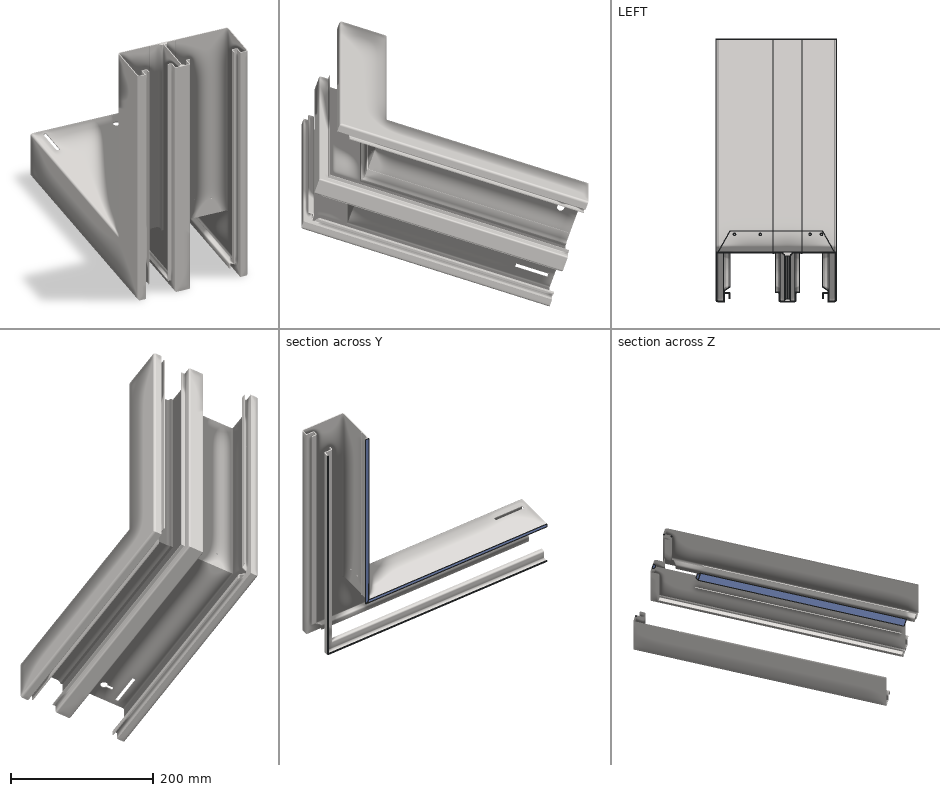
import cadquery as cq

leg_length = 369.5
width = 170.0
depth = 70.2
wall = 1.3
corner_radius = 3.5

half_length = leg_length / 2
half_width = width / 2
open_z = -half_length
base_z = open_z + depth

lip_width = 12.2
lip_height = 13.3
bend_radius = 2.2
hook_width = 7.8
hook_tip_height = 9.0
hook_y = half_width - lip_width - hook_width
lip_y = half_width - lip_width

hook_setback = 21.0
hook_end_slant = 5.5

divider_y = -16.0
rail_width = 23.5
rail_height = 14.0
rail_radius = 2.2
fin_reach = 5.0
seat_width = 9.0
seat_top_width = 5.0
seat_height = 3.0
foot_radius = 4.5

pad_thickness = 0.5
rib_offset = 19.5
rib_width = 1.0
rib_height = 1.0

slot_length = 48.0
slot_width = 5.0
slot_end_gap = 8.0
slot_y = 67.3
keyhole_end_gap = 24.8
keyhole_x = -half_length + keyhole_end_gap
keyhole_y = 36.5
keyhole_radius = 5.0
keyhole_neck_width = 4.5
keyhole_neck_length = 12.5

tab_height = 29.5
tab_top_width = 130.0
tab_bottom_width = width - 2 * corner_radius
tab_hole_radius = 1.5
tab_hole_drop = 4.8
tab_hole_ys = (58.8, 22.5, -47.5, -63.5)


def bar(y_low, y_high, z_low, z_high):
    """A rectangular bar running the full length of the lower arm."""
    centre = (0, (y_low + y_high) / 2, (z_low + z_high) / 2)
    return cq.Workplane("XY", origin=centre).box(leg_length, y_high - y_low, z_high - z_low)


def channel():
    """U-shaped base and sides with the two flanges on the open side."""
    outer = bar(-half_width, half_width, open_z, base_z).edges("|X").fillet(corner_radius)
    cavity = bar(wall - half_width, half_width - wall, open_z + wall, base_z - wall)
    cavity = cavity.edges("|X").fillet(corner_radius - wall)
    opening = bar(-lip_y, lip_y, open_z, open_z + wall)
    return outer.cut(cavity).cut(opening)


def side_lip():
    """Hook on the +Y side: web, shelf and a tip turned towards the open side, bent from one strip."""
    shelf_z = open_z + lip_height
    outer = bar(hook_y, lip_y + wall, open_z, shelf_z)
    outer = outer.edges("|X and >Z").fillet(bend_radius)
    inner = bar(hook_y + wall, lip_y, open_z, shelf_z - wall)
    inner = inner.edges("|X and >Z").fillet(bend_radius - wall)
    below_tip = bar(hook_y, lip_y, open_z, shelf_z - hook_tip_height)
    end_x = half_length - hook_setback
    notch = (
        cq.Workplane("XY", origin=(0, 0, open_z))
        .moveTo(end_x, hook_y)
        .lineTo(end_x + hook_end_slant, lip_y)
        .lineTo(half_length, lip_y)
        .lineTo(half_length, hook_y)
        .close()
        .extrude(lip_height)
    )
    return outer.cut(inner).cut(below_tip).cut(notch)


def divider_foot():
    """Root of the divider, flaring into the pad through a concave arc on each side."""
    pad_inside = base_z - wall - pad_thickness
    foot_end = pad_inside - foot_radius
    half_neck = seat_width / 2
    half_root = half_neck + foot_radius
    foot = bar(-half_root, half_root, foot_end, pad_inside)
    flares = (
        cq.Workplane("YZ")
        .pushPoints([(-half_root, foot_end), (half_root, foot_end)])
        .circle(foot_radius)
        .extrude(half_length, both=True)
    )
    return foot.cut(flares)


def divider_seat():
    """Tapered ridge inside the rail that carries the divider sheet."""
    rail_inside = open_z + wall
    seat_top = rail_inside + seat_height
    return (
        cq.Workplane("YZ")
        .moveTo(-seat_width / 2, rail_inside)
        .lineTo(-seat_top_width / 2, seat_top)
        .lineTo(seat_top_width / 2, seat_top)
        .lineTo(seat_width / 2, rail_inside)
        .close()
        .extrude(half_length, both=True)
    )


def rail_fin():
    """Web and outward fin on the +Y side of the rail, bent from one strip."""
    web_y = rail_width / 2
    fin_end = web_y + fin_reach
    rail_top = open_z + rail_height
    outer = bar(web_y - wall, fin_end, open_z + rail_radius, rail_top)
    outer = outer.edges("|X and >Z and <Y").fillet(bend_radius)
    inner = bar(web_y, fin_end, open_z + rail_radius, rail_top - wall)
    inner = inner.edges("|X and >Z and <Y").fillet(bend_radius - wall)
    return outer.cut(inner)


def rail():
    """Round-cornered channel with a fin on each side, centred on Y = 0."""
    half_rail = rail_width / 2
    web_top = open_z + rail_height - bend_radius
    trough = bar(-half_rail, half_rail, open_z, web_top)
    trough = trough.edges("|X and <Z").fillet(rail_radius)
    hollow = bar(wall - half_rail, half_rail - wall, open_z + wall, web_top)
    hollow = hollow.edges("|X and <Z").fillet(rail_radius - wall)
    fin = rail_fin()
    return trough.cut(hollow).union(fin).union(fin.mirror("XZ"))


def divider():
    """Central wall between its foot on the base and its seat in the finned rail."""
    sheet = bar(-wall / 2, wall / 2, open_z + wall, base_z - wall)
    body = sheet.union(divider_foot()).union(divider_seat()).union(rail())
    return body.translate((0, divider_y, 0))


def base_pad():
    """Thickened strip inside the base with its two edge ribs."""
    base_inside = base_z - wall
    pad = bar(-rib_offset, rib_offset, base_inside - pad_thickness, base_inside)
    for rib_y in (-rib_offset, rib_offset):
        rib = bar(rib_y - rib_width / 2, rib_y + rib_width / 2, base_inside - rib_height, base_inside)
        pad = pad.union(rib)
    return pad.translate((0, divider_y, 0))


def mitre_cutter():
    """Everything on the far side of the mitre plane from the lower arm."""
    reach = leg_length
    return (
        cq.Workplane("XZ")
        .polyline([(-reach, reach), (reach, -reach), (reach, reach)])
        .close()
        .extrude(width, both=True)
    )


def plain_arm():
    """The lower arm without its slots, keyhole and tab."""
    lip = side_lip()
    arm = channel().union(lip).union(lip.mirror("XZ")).union(base_pad()).union(divider())
    return arm.cut(mitre_cutter())


def base_openings():
    """Cutters for the two slots and the keyhole."""
    base_plane = cq.Workplane("XY", origin=(0, 0, base_z - wall))
    slot_x = -half_length + slot_end_gap + slot_length / 2
    slots = base_plane.pushPoints([(slot_x, -slot_y), (slot_x, slot_y)])
    slots = slots.rect(slot_length, slot_width).extrude(wall)
    round_hole = base_plane.center(keyhole_x, keyhole_y).circle(keyhole_radius).extrude(wall)
    neck = (
        base_plane.center(keyhole_x, keyhole_y + keyhole_neck_length / 2)
        .slot2D(keyhole_neck_length + keyhole_neck_width, keyhole_neck_width, 90)
        .extrude(wall)
    )
    return slots.union(round_hole).union(neck)


def tab_block():
    """Trapezoid through the base of the upright arm, continued down past the mitre."""
    tab_plane = cq.Workplane("YZ", origin=(-base_z, 0, 0))
    return (
        tab_plane.moveTo(-tab_bottom_width / 2, base_z - wall)
        .lineTo(-tab_bottom_width / 2, base_z)
        .lineTo(-tab_top_width / 2, base_z + tab_height)
        .lineTo(tab_top_width / 2, base_z + tab_height)
        .lineTo(tab_bottom_width / 2, base_z)
        .lineTo(tab_bottom_width / 2, base_z - wall)
        .close()
        .extrude(wall)
    )


def tab_holes():
    """Cutters for the fixing holes near the top edge of the tab."""
    hole_z = base_z + tab_height - tab_hole_drop
    return (
        cq.Workplane("YZ", origin=(-base_z, 0, 0))
        .pushPoints([(y, hole_z) for y in tab_hole_ys])
        .circle(tab_hole_radius)
        .extrude(wall)
    )


arm_blank = plain_arm()
upright_blank = arm_blank.mirror(cq.Vector(1, 0, 1))
tab = upright_blank.intersect(tab_block()).cut(tab_holes())

lower_arm = arm_blank.cut(base_openings()).union(tab)
upright_arm = upright_blank.cut(tab_block())

result = cq.Compound.makeCompound([*lower_arm.solids().vals(), *upright_arm.solids().vals()])